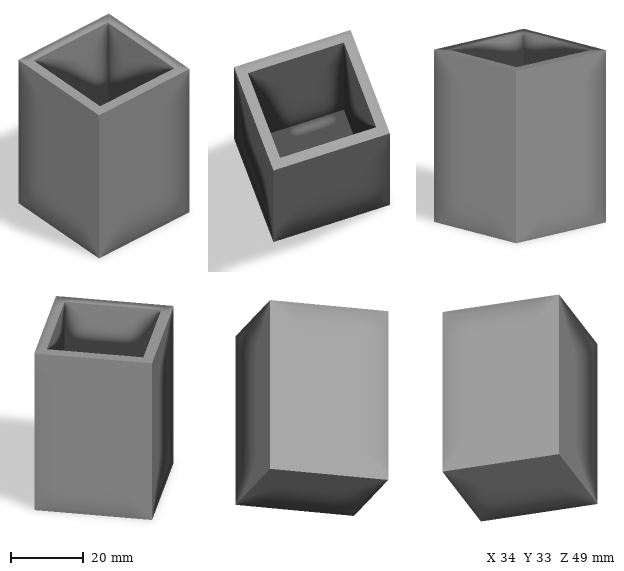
import cadquery as cq

length = 34.0
width = 33.0
height = 49.0
wall = 3.0
floor = wall

block = cq.Workplane("XY").box(length, width, height, centered=(True, True, False))

cavity = (
    cq.Workplane("XY")
    .workplane(offset=floor)
    .rect(length - 2 * wall, width - 2 * wall)
    .extrude(height - floor)
)

result = block.cut(cavity)